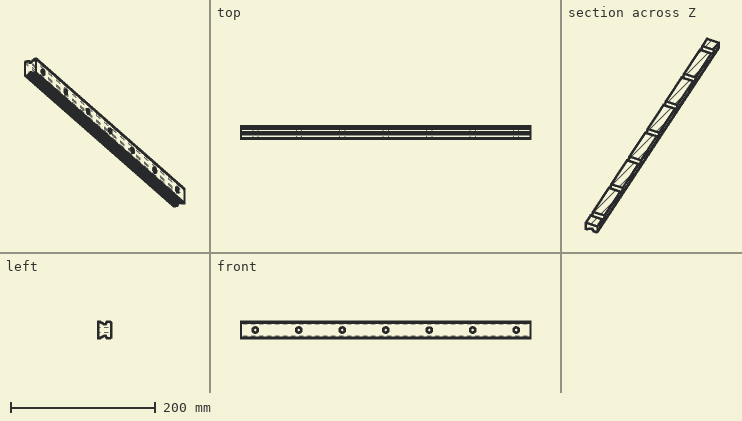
import cadquery as cq
import math

LENGTH = 400.0
HEIGHT = 18.0
WIDTH = 23.0

HOLE_DIAMETER = 7.0
HOLE_PITCH = 60.0
END_DISTANCE = 20.0

BASE_CHAMFER = 1.5
SHOULDER_HEIGHT = 6.0
BEVEL_HEIGHT = 7.8
BEVEL_ANGLE = 60.0
WAIST_HEIGHT = 9.6
WAIST_WIDTH = 16.0
FLANK_ANGLE = 30.0
FLANK_TOP = 13.8
HEAD_EDGE = 15.8
GROOVE_RADIUS = 2.0


def rail_body():
    """Extrude the waisted cross-section along X, centred on the origin."""
    half_width = WIDTH / 2
    half_waist = WAIST_WIDTH / 2
    flank_rise = (FLANK_TOP - WAIST_HEIGHT) * math.tan(math.radians(FLANK_ANGLE))
    bevel_rise = (BEVEL_HEIGHT - SHOULDER_HEIGHT) * math.tan(math.radians(BEVEL_ANGLE))
    half_section = (
        cq.Workplane("YZ", origin=(-LENGTH / 2, -HEIGHT / 2, 0))
        .lineTo(0, half_width - BASE_CHAMFER)
        .lineTo(BASE_CHAMFER, half_width)
        .lineTo(SHOULDER_HEIGHT, half_width)
        .lineTo(BEVEL_HEIGHT, half_width - bevel_rise)
        .lineTo(BEVEL_HEIGHT, half_waist)
        .lineTo(WAIST_HEIGHT, half_waist)
        .lineTo(FLANK_TOP, half_waist + flank_rise)
        .radiusArc((HEAD_EDGE, half_width), -GROOVE_RADIUS)
        .lineTo(HEIGHT, half_width)
        .lineTo(HEIGHT, 0)
        .close()
    )
    half_rail = half_section.extrude(LENGTH)
    return half_rail.union(half_rail.mirror("XY"))


def mounting_holes():
    """Cylinders for the row of holes along the centre line of the rail."""
    hole_count = int((LENGTH - 2 * END_DISTANCE) / HOLE_PITCH) + 1
    first_hole = -LENGTH / 2 + END_DISTANCE
    centres = [(first_hole + i * HOLE_PITCH, 0) for i in range(hole_count)]
    circles = cq.Workplane("XZ").pushPoints(centres).circle(HOLE_DIAMETER / 2)
    return circles.extrude(HEIGHT, both=True)


result = rail_body().cut(mounting_holes())